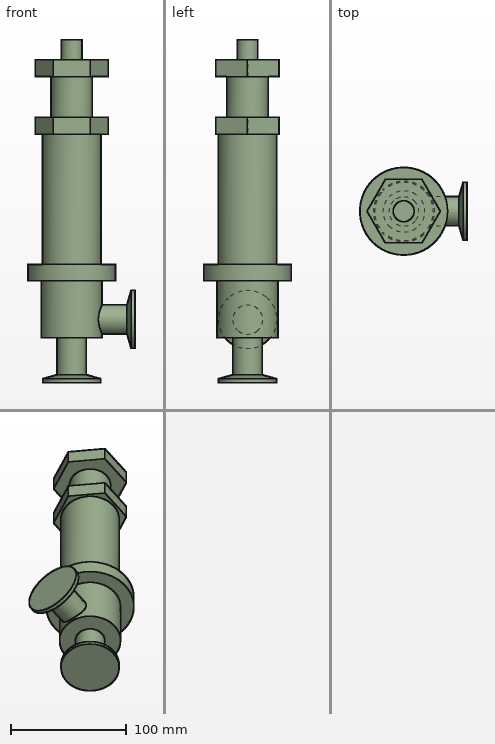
import cadquery as cq
import math

body_bottom = 39.0
collar_bottom = 88.2
collar_top = 102.5
barrel_top = 215.0
neck_top = 265.0
nut_height = 14.8
total_height = 297.0

pipe_diameter = 25.5
flange_diameter = 50.5
body_diameter = 53.0
collar_diameter = 76.0
barrel_diameter = 50.8
neck_diameter = 36.0
stem_diameter = 18.0

nut_across_flats = 55.0
nut_across_corners = nut_across_flats / math.cos(math.pi / 6)

flange_rim = 3.5
flange_depth = 7.0

outlet_height = 55.0
outlet_reach = 55.0


def cylinder(diameter, bottom, top):
    """Upright cylinder on the main axis between two levels."""
    return cq.Workplane("XY").workplane(offset=bottom).circle(diameter / 2).extrude(top - bottom)


def nut(bottom):
    """Solid hexagonal nut standing on the given level."""
    return cq.Workplane("XY").workplane(offset=bottom).polygon(6, nut_across_corners).extrude(nut_height)


def flanged_pipe(length):
    """Upright pipe stub with its flange face at the origin."""
    pipe_radius = pipe_diameter / 2
    flange_radius = flange_diameter / 2
    return (
        cq.Workplane("XZ")
        .lineTo(flange_radius, 0)
        .lineTo(flange_radius, flange_rim)
        .lineTo(pipe_radius, flange_depth)
        .lineTo(pipe_radius, length)
        .lineTo(0, length)
        .close()
        .revolve(360, (0, 0, 0), (0, 1, 0))
    )


inlet = flanged_pipe(body_bottom)
outlet = (
    flanged_pipe(outlet_reach)
    .rotate((0, 0, 0), (0, 1, 0), -90)
    .translate((outlet_reach, 0, outlet_height))
)

body = cylinder(body_diameter, body_bottom, collar_bottom)
collar = cylinder(collar_diameter, collar_bottom, collar_top)
barrel = cylinder(barrel_diameter, collar_top, barrel_top)
neck = cylinder(neck_diameter, barrel_top, neck_top)
stem = cylinder(stem_diameter, neck_top, total_height)

result = inlet
for section in (body, outlet, collar, barrel, neck, stem, nut(barrel_top), nut(neck_top)):
    result = result.union(section)